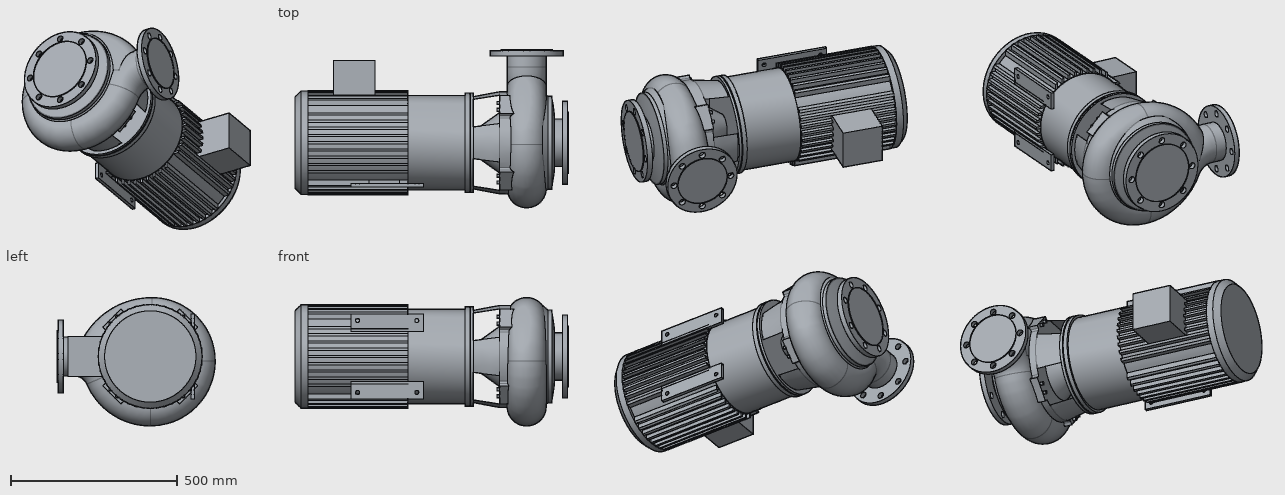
import math

import cadquery as cq


motor_end_x = 0.0
fan_cover_length = 40.0
fan_cover_radius = 156.0
fan_cover_chamfer = 18.5
fins_end_x = 340.0
barrel_radius = 285.0 / 2
barrel_end_x = 512.0

fin_root_radius = 144.0
fin_tip_radius = 157.0
fin_thickness = 7.0
fin_pitch = 21.7
fins_each_way = 4

terminal_box_x = 116.0
terminal_box_length = 125.0
terminal_box_width = 121.0
terminal_box_top_y = 248.0

foot_start_x = 168.5
foot_length = 218.0
foot_inner_z = 75.0
foot_width = 52.5
foot_inner_y = -123.0
foot_thickness = 10.0
foot_hole_diameter = 12.0
foot_hole_z = 108.0
foot_hole_end_distance = 20.0
foot_stem_x = 223.0
foot_stem_length = 91.5
foot_stem_width = 16.0

motor_flange_radius = 300.0 / 2
motor_flange_thickness = 14.0
flange_gap = 2.0
flange_gap_radius = 146.0
bracket_flange_thickness = 9.0
bracket_start_x = barrel_end_x + motor_flange_thickness + flange_gap + bracket_flange_thickness
backplate_x = 616.0
arm_start_radius = 139.0
arm_start_underside = 130.4
arm_end_underside = 142.8
arm_count = 4
seal_housing_start_radius = 35.0
seal_housing_end_radius = 91.5

volute_x = 697.0
casing_radius = 308.2 / 2
casing_end_x = 745.0
cover_x = 760.5
cover_radius = 280.0 / 2
cover_thickness = 12.0
cover_dome_height = 9.0
cover_dome_start_radius = 137.0
cover_dome_end_radius = 70.0
cover_dome_mid_radius = 99.0
cover_dome_mid_height = 6.5

pad_count = 4
pad_first_angle = 45.0
pad_length = 77.0
pad_outer_radius = 163.3
pad_thickness = 50.0
pad_root_fillet = 6.0
bolt_diameter = 10.0
bolt_height = 9.0
bolt_radius = 155.2
bolt_half_angle = 5.4

tube_radius = 118.3 / 2
tongue_outer_radius = 236.0
upper_outer_radius = 191.0
lower_outer_radius = 195.81
rising_outer_radius = 208.0
quadrant_center_z = -13.5
rising_end_angle = -23.2
tongue_end_z = -20.0

flange_thickness = 16.0
raised_face_height = 3.0
bolt_hole_count = 8
bolt_hole_diameter = 19.0
discharge_face_y = 280.0
discharge_flange_diameter = 220.0
discharge_face_diameter = 156.0
discharge_bolt_circle = 180.0
suction_face_x = 823.0
suction_flange_diameter = 250.0
suction_face_diameter = 184.0
suction_bolt_circle = 210.0
suction_pipe_diameter = 143.7

BLEND = 1.0
EDGE_TOLERANCE = 0.5


def x_cylinder(radius, start_x, end_x):
    """Cylinder on the shaft axis."""
    return cq.Workplane("YZ", origin=(start_x, 0, 0)).circle(radius).extrude(end_x - start_x)


def x_cone(start_x, start_radius, end_x, end_radius):
    """Solid cone frustum on the shaft axis."""
    profile = [(start_x, 0), (start_x, start_radius), (end_x, end_radius), (end_x, 0)]
    return cq.Workplane("XY").polyline(profile).close().revolve(360, (0, 0, 0), (1, 0, 0))


def make_motor_body():
    fan_cover = (
        x_cylinder(fan_cover_radius, motor_end_x, fan_cover_length)
        .faces("<X").chamfer(fan_cover_chamfer)
    )
    return fan_cover.union(x_cylinder(barrel_radius, fan_cover_length - BLEND, barrel_end_x))


def make_fins():
    """Parallel cooling fins on all four sides, trimmed to a common tip cylinder."""
    length = fins_end_x - fan_cover_length
    fins = x_cylinder(fin_root_radius, fan_cover_length, fins_end_x)
    for step in range(-fins_each_way, fins_each_way + 1):
        offset = step * fin_pitch
        plane = cq.Workplane("YZ", origin=(fan_cover_length, 0, 0))
        upright = plane.center(offset, 0).rect(fin_thickness, 2 * fin_tip_radius).extrude(length)
        plane = cq.Workplane("YZ", origin=(fan_cover_length, 0, 0))
        level = plane.center(0, offset).rect(2 * fin_tip_radius, fin_thickness).extrude(length)
        fins = fins.union(upright).union(level)
    return fins.intersect(x_cylinder(fin_tip_radius, fan_cover_length, fins_end_x))


def make_terminal_box():
    return cq.Workplane("XY").box(
        terminal_box_length, terminal_box_top_y, terminal_box_width, centered=(False, False, True)
    ).translate((terminal_box_x, 0, 0))


def make_upper_foot():
    """Mounting plate with two holes, on a stem that reaches the motor barrel."""
    plate = cq.Workplane("XY").box(foot_length, foot_thickness, foot_width, centered=False)
    plate = plate.translate((foot_start_x, foot_inner_y - foot_thickness, foot_inner_z))
    hole_xs = (
        foot_start_x + foot_hole_end_distance,
        foot_start_x + foot_length - foot_hole_end_distance,
    )
    holes = (
        cq.Workplane("XZ", origin=(0, foot_inner_y, 0))
        .pushPoints([(x, foot_hole_z) for x in hole_xs])
        .circle(foot_hole_diameter / 2)
        .extrude(foot_thickness)
    )
    stem = cq.Workplane("XY").box(foot_stem_length, -foot_inner_y, foot_stem_width, centered=False)
    stem = stem.translate((foot_stem_x, foot_inner_y, foot_inner_z))
    return plate.cut(holes).union(stem)


def make_bracket():
    """Motor flange, bracket flange, four arms cut flat from a cone, and the seal housing cone."""
    flange_end = barrel_end_x + motor_flange_thickness
    bracket_flange_x = flange_end + flange_gap
    bracket = (
        x_cylinder(motor_flange_radius, barrel_end_x, flange_end)
        .union(x_cylinder(flange_gap_radius, flange_end, bracket_flange_x))
        .union(x_cylinder(motor_flange_radius, bracket_flange_x, bracket_start_x))
    )
    arm_side = [
        (bracket_start_x, arm_start_underside),
        (backplate_x, arm_end_underside),
        (backplate_x, casing_radius),
        (bracket_start_x, casing_radius),
    ]
    slab = cq.Workplane("XZ").polyline(arm_side).close().extrude(casing_radius, both=True)
    arm = x_cone(bracket_start_x, arm_start_radius, backplate_x, casing_radius).intersect(slab)
    for index in range(arm_count):
        bracket = bracket.union(arm.rotate((0, 0, 0), (1, 0, 0), index * 360 / arm_count))
    return bracket.union(
        x_cone(bracket_start_x, seal_housing_start_radius, backplate_x, seal_housing_end_radius)
    )


def make_suction_cover():
    """Tapered shoulder and domed suction cover, turned about the shaft."""
    cover_end = cover_x + cover_thickness
    dome_end = cover_end + cover_dome_height
    return (
        cq.Workplane("XY")
        .moveTo(casing_end_x, 0)
        .lineTo(casing_end_x, casing_radius)
        .lineTo(cover_x, cover_radius)
        .lineTo(cover_end, cover_radius)
        .lineTo(cover_end, cover_dome_start_radius)
        .threePointArc(
            (cover_end + cover_dome_mid_height, cover_dome_mid_radius),
            (dome_end, cover_dome_end_radius),
        )
        .lineTo(dome_end, 0)
        .close()
        .revolve(360, (0, 0, 0), (1, 0, 0))
    )


def make_padded_rim():
    """Casing drum with flat-topped pads around its front rim, each with two bolt heads."""
    rim = x_cylinder(casing_radius, backplate_x, casing_end_x)
    bolts = cq.Workplane("XY")
    for index in range(pad_count):
        angle = pad_first_angle + index * 360 / pad_count
        pad = (
            cq.Workplane("XY")
            .box(pad_thickness, pad_outer_radius, pad_length, centered=(False, False, True))
            .translate((backplate_x, 0, 0))
            .rotate((0, 0, 0), (1, 0, 0), angle)
        )
        rim = rim.union(pad)
        for side in (-1, 1):
            bolt = (
                cq.Workplane("YZ", origin=(backplate_x - bolt_height, bolt_radius, 0))
                .circle(bolt_diameter / 2)
                .extrude(bolt_height + BLEND)
                .rotate((0, 0, 0), (1, 0, 0), angle + side * bolt_half_angle)
            )
            bolts = bolts.union(bolt)
    pad_roots = rim.edges("|X").filter(is_pad_root)
    return pad_roots.fillet(pad_root_fillet).union(bolts)


def is_pad_root(edge):
    """True for the edges where a pad side meets the rim surface."""
    middle = edge.Center()
    on_rim = abs(math.hypot(middle.y, middle.z) - casing_radius) < EDGE_TOLERANCE
    return on_rim and edge.Length() < pad_thickness + EDGE_TOLERANCE


def arc_tube(center, radius, start_angle, end_angle):
    """Round tube along an arc in the volute plane; angles run from +Y towards +Z."""

    def point(angle):
        turn = math.radians(angle)
        return (center[0] + radius * math.cos(turn), center[1] + radius * math.sin(turn))

    start = point(start_angle)
    turn = math.radians(start_angle)
    tangent = (0, -math.sin(turn), math.cos(turn))
    path = (
        cq.Workplane("YZ", origin=(volute_x, 0, 0))
        .moveTo(*start)
        .threePointArc(point((start_angle + end_angle) / 2), point(end_angle))
    )
    section_plane = cq.Plane(origin=(volute_x, *start), xDir=(1, 0, 0), normal=tangent)
    return cq.Workplane(section_plane).circle(tube_radius).sweep(path)


def make_volute():
    """Scroll of tangent arcs that ends in an elbow towards the radial discharge nozzle."""
    upper_center = (upper_outer_radius - lower_outer_radius, quadrant_center_z)
    lower_center = (0, quadrant_center_z)
    tongue_center = (upper_center[0], quadrant_center_z + upper_outer_radius - tongue_outer_radius)
    rising_center = (0, quadrant_center_z - lower_outer_radius + rising_outer_radius)

    tongue_path_radius = tongue_outer_radius - tube_radius
    tongue_start = math.degrees(math.asin((tongue_end_z - tongue_center[1]) / tongue_path_radius))
    rising_path_radius = rising_outer_radius - tube_radius
    rising_turn = math.radians(rising_end_angle)
    rising_end_y = rising_path_radius * math.cos(rising_turn)
    rising_end_z = rising_center[1] + rising_path_radius * math.sin(rising_turn)

    elbow_start_angle = 180 + rising_end_angle
    elbow_radius = -rising_end_z / (1 - math.sin(math.radians(elbow_start_angle)))
    elbow_end_y = rising_end_y + elbow_radius * math.cos(rising_turn)
    elbow_center = (elbow_end_y, -elbow_radius)

    volute = (
        arc_tube(tongue_center, tongue_path_radius, tongue_start, 90)
        .union(arc_tube(upper_center, upper_outer_radius - tube_radius, 90, 180))
        .union(arc_tube(lower_center, lower_outer_radius - tube_radius, 180, 270))
        .union(arc_tube(rising_center, rising_path_radius, 270, 360 + rising_end_angle))
        .union(arc_tube(elbow_center, elbow_radius, elbow_start_angle, 90))
    )
    nozzle = (
        cq.Workplane("XZ", origin=(volute_x, elbow_end_y, 0))
        .circle(tube_radius)
        .extrude(elbow_end_y - discharge_face_y + raised_face_height)
    )
    return volute.union(nozzle)


def make_flange(face_plane, outer_diameter, face_diameter, bolt_circle):
    """Raised-face pipe flange; the plane lies on the sealing face, its normal points outwards."""
    return (
        cq.Workplane(face_plane)
        .circle(face_diameter / 2)
        .extrude(-raised_face_height - BLEND)
        .union(
            cq.Workplane(face_plane)
            .workplane(offset=-raised_face_height)
            .circle(outer_diameter / 2)
            .extrude(-flange_thickness)
        )
        .cut(
            cq.Workplane(face_plane)
            .polarArray(bolt_circle / 2, 0, 360, bolt_hole_count)
            .circle(bolt_hole_diameter / 2)
            .extrude(-raised_face_height - flange_thickness)
        )
    )


def make_discharge_flange():
    plane = cq.Plane(origin=(volute_x, discharge_face_y, 0), xDir=(1, 0, 0), normal=(0, 1, 0))
    return make_flange(plane, discharge_flange_diameter, discharge_face_diameter, discharge_bolt_circle)


def make_suction_nozzle():
    plane = cq.Plane(origin=(suction_face_x, 0, 0), xDir=(0, 1, 0), normal=(1, 0, 0))
    flange = make_flange(plane, suction_flange_diameter, suction_face_diameter, suction_bolt_circle)
    pipe = x_cylinder(suction_pipe_diameter / 2, cover_x, suction_face_x - raised_face_height)
    return pipe.union(flange)


upper_foot = make_upper_foot()
result = (
    make_motor_body()
    .union(make_fins())
    .union(make_terminal_box())
    .union(upper_foot)
    .union(upper_foot.mirror("XY"))
    .union(make_bracket())
    .union(make_suction_cover())
    .union(make_padded_rim())
    .union(make_volute())
    .union(make_discharge_flange())
    .union(make_suction_nozzle())
)